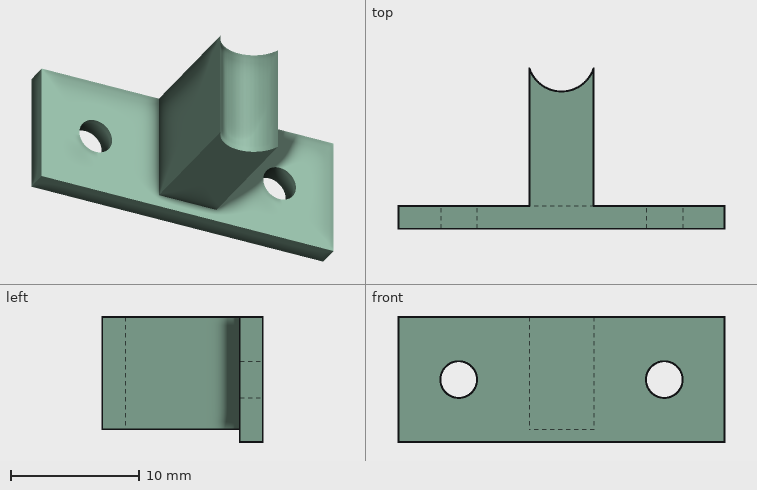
import cadquery as cq

plate_width = 25.4
plate_thickness = 1.8
plate_height = 9.75

hole_diameter = 2.84
hole_spacing = 16.0

overall_depth = 12.5
stem_width = 5.0
stem_height = 8.75

saddle_depth = 1.8


def make_plate():
    plate = cq.Workplane("XY").box(
        plate_width, plate_thickness, plate_height, centered=(True, False, False)
    )
    holes = (
        cq.Workplane("XZ", origin=(0, 0, plate_height / 2))
        .rarray(hole_spacing, 1, 2, 1)
        .circle(hole_diameter / 2)
        .extrude(-plate_thickness)
    )
    return plate.cut(holes)


def make_stem():
    half_width = stem_width / 2
    stem_bottom = plate_height - stem_height
    return (
        cq.Workplane("XY", origin=(0, 0, stem_bottom))
        .moveTo(-half_width, plate_thickness)
        .lineTo(half_width, plate_thickness)
        .lineTo(half_width, overall_depth)
        .threePointArc((0, overall_depth - saddle_depth), (-half_width, overall_depth))
        .close()
        .extrude(stem_height)
    )


result = make_plate().union(make_stem())